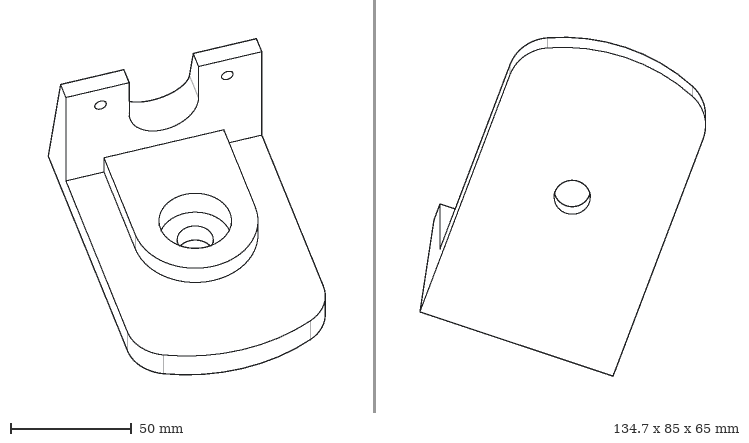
import cadquery as cq
import math

length = 134.7
width = 85.0
height = 65.0

base_thickness = 12.0
end_radius = 77.5
corner_radius = 18.0

wall_foot = 24.9
wall_slope_angle = 15.0

pad_radius = 26.0
pad_center_x = 69.0
pad_top = 21.0
counterbore_diameter = 30.0
counterbore_depth = 12.0
bolt_diameter = 15.0

notch_diameter = 30.0
notch_center_z = 45.0
pin_diameter = 5.0
pin_spacing = 55.0
pin_z = 55.0


def make_base():
    """Plate behind the wall; its bowed end blends tangentially into rounded corners."""
    half_width = width / 2
    end_center_x = length - end_radius
    corner_y = half_width - corner_radius
    center_distance = end_radius - corner_radius
    corner_x = end_center_x + math.sqrt(center_distance**2 - corner_y**2)
    blend_angle = math.asin(corner_y / center_distance)
    blend_x = end_center_x + end_radius * math.cos(blend_angle)
    blend_y = end_radius * math.sin(blend_angle)
    middle_angle = (blend_angle + math.pi / 2) / 2
    middle_x = corner_x + corner_radius * math.cos(middle_angle)
    middle_y = corner_y + corner_radius * math.sin(middle_angle)
    return (
        cq.Workplane("XY")
        .moveTo(wall_foot, -half_width)
        .lineTo(corner_x, -half_width)
        .threePointArc((middle_x, -middle_y), (blend_x, -blend_y))
        .threePointArc((length, 0), (blend_x, blend_y))
        .threePointArc((middle_x, middle_y), (corner_x, half_width))
        .lineTo(wall_foot, half_width)
        .close()
        .extrude(base_thickness)
    )


def make_wall():
    """Wedge-shaped wall across the full width."""
    top_x = height * math.tan(math.radians(wall_slope_angle))
    profile = [(0, 0), (wall_foot, 0), (wall_foot, height), (top_x, height)]
    return cq.Workplane("XZ").polyline(profile).close().extrude(width / 2, both=True)


def make_pad():
    """Raised pad running from the wall to a round end."""
    pad_length = pad_center_x - wall_foot
    strip = cq.Workplane("XY", origin=(wall_foot, 0, 0)).box(
        pad_length, 2 * pad_radius, pad_top, centered=(False, True, False)
    )
    round_end = cq.Workplane("XY").center(pad_center_x, 0).circle(pad_radius).extrude(pad_top)
    return strip.union(round_end)


def make_notch():
    """Round-bottomed notch, open at the top of the wall."""
    opening_height = height - notch_center_z
    wall_end = cq.Workplane("YZ")
    round_bottom = wall_end.center(0, notch_center_z).circle(notch_diameter / 2).extrude(wall_foot)
    opening = (
        wall_end.center(0, notch_center_z + opening_height / 2)
        .rect(notch_diameter, opening_height)
        .extrude(wall_foot)
    )
    return round_bottom.union(opening)


def make_pin_holes():
    """Pair of holes through the wall, one on each side of the notch."""
    centers = [(side * pin_spacing / 2, pin_z) for side in (-1, 1)]
    return cq.Workplane("YZ").pushPoints(centers).circle(pin_diameter / 2).extrude(wall_foot)


def make_bolt_hole():
    """Through hole with a counterbore sunk from the top of the pad."""
    through = cq.Workplane("XY").center(pad_center_x, 0).circle(bolt_diameter / 2).extrude(pad_top)
    counterbore = (
        cq.Workplane("XY", origin=(pad_center_x, 0, pad_top))
        .circle(counterbore_diameter / 2)
        .extrude(-counterbore_depth)
    )
    return through.union(counterbore)


body = make_base().union(make_wall()).union(make_pad())
result = body.cut(make_notch()).cut(make_pin_holes()).cut(make_bolt_hole())